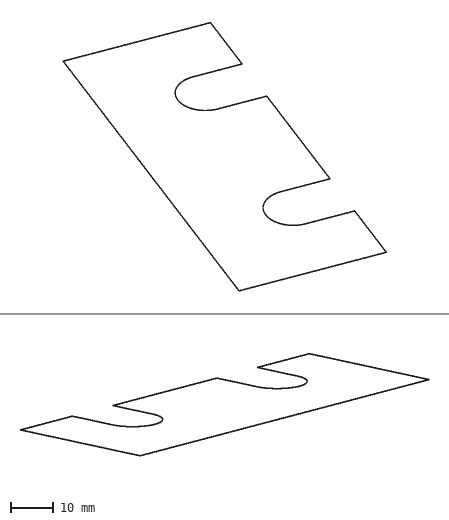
import cadquery as cq

plate_length = 101.6
plate_width = 38.1
plate_thickness = 0.13

slot_width = 14.2
slot_depth = 19.8
slot_spacing = plate_length / 2

slot_radius = slot_width / 2
back_edge_y = plate_width / 2
slot_center_y = back_edge_y - slot_depth + slot_radius


def open_slot(center_x):
    """Cutter with a half-round inner end, running straight out to the +Y edge."""
    return (
        cq.Workplane("XY")
        .moveTo(center_x - slot_radius, back_edge_y)
        .lineTo(center_x - slot_radius, slot_center_y)
        .threePointArc(
            (center_x, slot_center_y - slot_radius),
            (center_x + slot_radius, slot_center_y),
        )
        .lineTo(center_x + slot_radius, back_edge_y)
        .close()
        .extrude(plate_thickness)
    )


result = cq.Workplane("XY").rect(plate_length, plate_width).extrude(plate_thickness)
for side in (-1, 1):
    result = result.cut(open_slot(side * slot_spacing / 2))